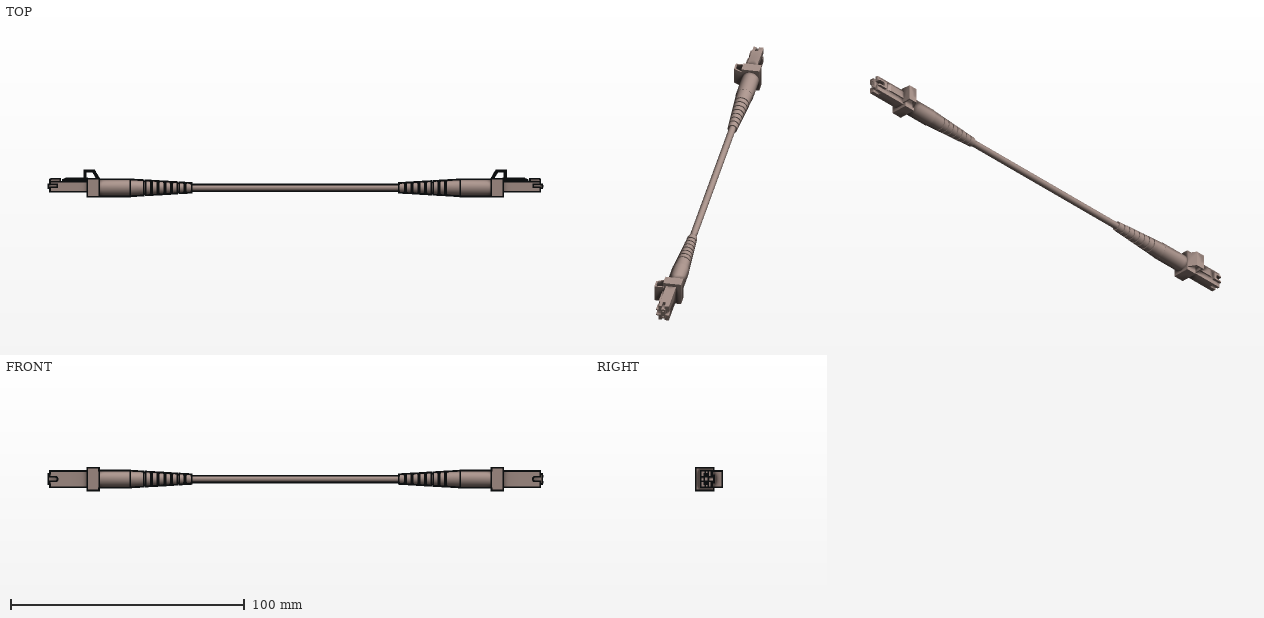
import cadquery as cq
import math


cable_radius = 1.5
boot_tip_reach = 44.3
boot_length = 26.2
boot_root_radius = 3.65
boot_tip_radius = 2.1
boot_plain_length = 5.8
groove_count = 7
groove_pitch = 2.87
groove_width = 0.7
groove_depth = 0.45

barrel_length = 13.4
barrel_radius = 3.75
collar_length = 5.1
collar_height = 9.78
collar_half_depth = 3.9
nose_length = 15.9
nose_height = 7.0
nose_top = 2.7
nose_bottom = -1.7

ferrule_height = 4.4
ferrule_depth = 1.7
ferrule_center_y = 0.65
ferrule_protrusion = 0.76
pin_radius = 0.35
pin_spacing = 2.6
pin_protrusion = 0.26
pin_cone_length = 0.25
pin_tip_inset = 0.2
pin_hole_depth = 2.0

round_slot_width = 1.9
round_slot_length = 3.3
side_slot_width = 1.3
side_slot_center_y = 0.82
side_slot_length = 3.2

catch_width = 3.2
catch_length = 4.5
catch_chamfer = 0.5
latch_gap = 0.6
latch_thickness = 0.7
latch_front_offset = 5.4
latch_ramp_length = 1.6
latch_post_offset = 14.7
latch_top = 7.54
latch_flat_length = 4.2

boot_root_reach = boot_tip_reach + boot_length
collar_back_reach = boot_root_reach + barrel_length
collar_front_reach = collar_back_reach + collar_length
nose_front_reach = collar_front_reach + nose_length
ferrule_front_reach = nose_front_reach + ferrule_protrusion


def box(start, end, bottom, top, height):
    """A box from start to end along X and bottom to top along Y, centred on Z."""
    size = (end - start, top - bottom, height)
    return cq.Workplane("XY").box(*size).translate(((start + end) / 2, (bottom + top) / 2, 0))


def rod(start, end, radius, y=0.0, z=0.0):
    """A round rod along X."""
    return cq.Workplane("YZ", origin=(start, y, z)).circle(radius).extrude(end - start)


def turn_to_left(body):
    """Turns a right-hand body about Y, which takes it to the left end of the cord."""
    return body.rotate((0, 0, 0), (0, 1, 0), 180)


def make_cable():
    return rod(-boot_root_reach, boot_root_reach, cable_radius)


def boot_radius_at(reach):
    fraction = (reach - boot_tip_reach) / boot_length
    return boot_tip_radius + fraction * (boot_root_radius - boot_tip_radius)


def make_boot():
    """Tapered sleeve around the cable, with ring grooves toward its thin end."""
    boot = (
        cq.Workplane("XY")
        .moveTo(boot_tip_reach, cable_radius)
        .lineTo(boot_tip_reach, boot_tip_radius)
        .lineTo(boot_root_reach, boot_root_radius)
        .lineTo(boot_root_reach, cable_radius)
        .close()
        .revolve(360, (0, 0, 0), (1, 0, 0))
    )
    for index in range(groove_count):
        groove_end = boot_root_reach - boot_plain_length - index * groove_pitch
        groove_start = groove_end - groove_width
        floor_radius = boot_radius_at(groove_start) - groove_depth
        ring = rod(groove_start, groove_end, 2 * boot_root_radius).cut(
            rod(groove_start, groove_end, floor_radius)
        )
        boot = boot.cut(ring)
    return boot


def make_latch():
    """Narrow arm ahead of the collar, carrying a wide post and thumb plate that ends on the collar."""
    arm_bottom = nose_top + latch_gap
    arm_top = arm_bottom + latch_thickness
    arm_front = nose_front_reach - latch_front_offset
    arm = (
        cq.Workplane("XY")
        .moveTo(collar_front_reach, arm_bottom)
        .lineTo(arm_front, arm_bottom)
        .lineTo(arm_front - latch_ramp_length, arm_top)
        .lineTo(collar_front_reach, arm_top)
        .close()
        .extrude(catch_width / 2, both=True)
    )
    post_front = nose_front_reach - latch_post_offset
    post_back = post_front - latch_thickness
    plate_bottom = latch_top - latch_thickness
    outer_bend = post_front - latch_flat_length
    outer_foot = collar_back_reach
    slope_angle = math.atan2(latch_top - collar_half_depth, outer_bend - outer_foot)
    inner_bend = outer_bend + latch_thickness * math.tan(slope_angle / 2)
    inner_foot = outer_foot + latch_thickness / math.sin(slope_angle)
    thumb_plate = (
        cq.Workplane("XY")
        .moveTo(post_front, arm_bottom)
        .lineTo(post_front, latch_top)
        .lineTo(outer_bend, latch_top)
        .lineTo(outer_foot, collar_half_depth)
        .lineTo(inner_foot, collar_half_depth)
        .lineTo(inner_bend, plate_bottom)
        .lineTo(post_back, plate_bottom)
        .lineTo(post_back, arm_bottom)
        .close()
        .extrude(nose_height / 2, both=True)
    )
    return arm.union(thumb_plate)


def make_nose():
    """Rectangular nose with a catch on top, slotted at the front so that its ferrule shows."""
    nose = box(collar_front_reach, nose_front_reach, nose_bottom, nose_top, nose_height)
    catch = box(nose_front_reach - catch_length, nose_front_reach, nose_top, collar_half_depth, catch_width)
    catch = catch.faces(">X").edges(">Y").chamfer(catch_chamfer)
    slot_radius = round_slot_width / 2
    round_end = nose_front_reach - round_slot_length + slot_radius
    round_slot = box(round_end, nose_front_reach, nose_bottom, collar_half_depth, round_slot_width).union(
        cq.Workplane("XZ", origin=(round_end, nose_bottom, 0))
        .circle(slot_radius)
        .extrude(nose_bottom - collar_half_depth)
    )
    side_slot = box(
        nose_front_reach - side_slot_length,
        nose_front_reach,
        side_slot_center_y - side_slot_width / 2,
        side_slot_center_y + side_slot_width / 2,
        nose_height,
    )
    ferrule = box(
        collar_front_reach,
        ferrule_front_reach,
        ferrule_center_y - ferrule_depth / 2,
        ferrule_center_y + ferrule_depth / 2,
        ferrule_height,
    )
    return nose.union(catch).cut(round_slot).cut(side_slot).union(ferrule)


def make_connector():
    barrel = rod(boot_root_reach, collar_back_reach, barrel_radius)
    collar = box(collar_back_reach, collar_front_reach, -collar_half_depth, collar_half_depth, collar_height)
    return barrel.union(collar).union(make_nose()).union(make_latch())


def add_guide_pins(connector):
    """Cone-tipped guide pins standing out of the ferrule."""
    tip_reach = ferrule_front_reach + pin_protrusion
    for z in (-pin_spacing / 2, pin_spacing / 2):
        pin = rod(nose_front_reach, tip_reach, pin_radius, ferrule_center_y, z)
        connector = connector.union(pin.faces(">X").chamfer(pin_cone_length, pin_tip_inset))
    return connector


def cut_guide_holes(connector):
    """Guide-pin holes in the ferrule."""
    for z in (-pin_spacing / 2, pin_spacing / 2):
        hole_end = ferrule_front_reach - pin_hole_depth
        connector = connector.cut(rod(hole_end, ferrule_front_reach, pin_radius, ferrule_center_y, z))
    return connector


cable = make_cable()
boots = [turn_to_left(make_boot()), make_boot()]
pin_connector = add_guide_pins(make_connector())
hole_connector = turn_to_left(cut_guide_holes(make_connector()))

result = cq.Compound.makeCompound(
    [cable.val(), *[boot.val() for boot in boots], pin_connector.val(), hole_connector.val()]
)